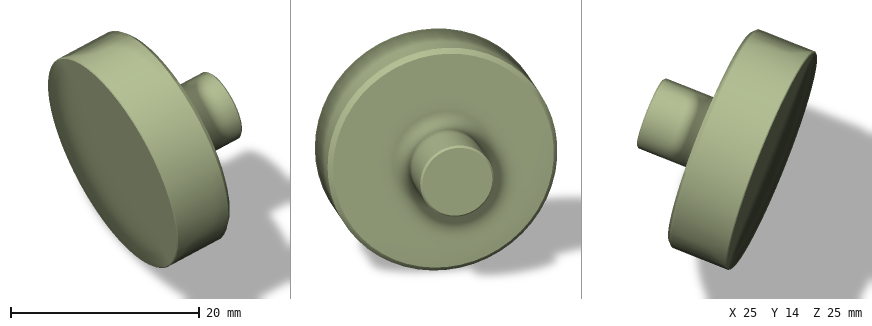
import cadquery as cq

disc_diameter = 25
disc_thickness = 7
front_chamfer = 0.1
back_chamfer = 0.5

stud_diameter = 8
stud_length = 7
stud_end_chamfer = 0.2
stud_root_fillet = 1.5

core_diameter = 17.8
ring_outer_diameter = 19.8
recess_depth = 5


def cylinder_along_y(diameter, length, start_y=0):
    """Solid cylinder on the Y axis, running from start_y toward +Y."""
    plane = cq.Workplane("XZ", origin=(0, start_y, 0))
    return plane.circle(diameter / 2).extrude(-length)


def make_housing():
    disc = cylinder_along_y(disc_diameter, disc_thickness)
    disc = disc.faces("<Y").chamfer(front_chamfer)
    disc = disc.faces(">Y").chamfer(back_chamfer)

    stud = cylinder_along_y(stud_diameter, stud_length, disc_thickness)
    stud = stud.faces(">Y").chamfer(stud_end_chamfer)

    body = disc.union(stud)
    back_face = body.faces("|Y").faces(cq.selectors.CenterNthSelector(cq.Vector(0, 1, 0), 1))
    body = back_face.edges(cq.selectors.RadiusNthSelector(0)).fillet(stud_root_fillet)
    return body.cut(cylinder_along_y(ring_outer_diameter, recess_depth))


def make_spacer_ring():
    ring = cylinder_along_y(ring_outer_diameter, recess_depth)
    return ring.cut(cylinder_along_y(core_diameter, recess_depth))


def make_magnet_core():
    return cylinder_along_y(core_diameter, recess_depth)


housing = make_housing()
spacer_ring = make_spacer_ring()
magnet_core = make_magnet_core()

result = cq.Compound.makeCompound([housing.val(), spacer_ring.val(), magnet_core.val()])